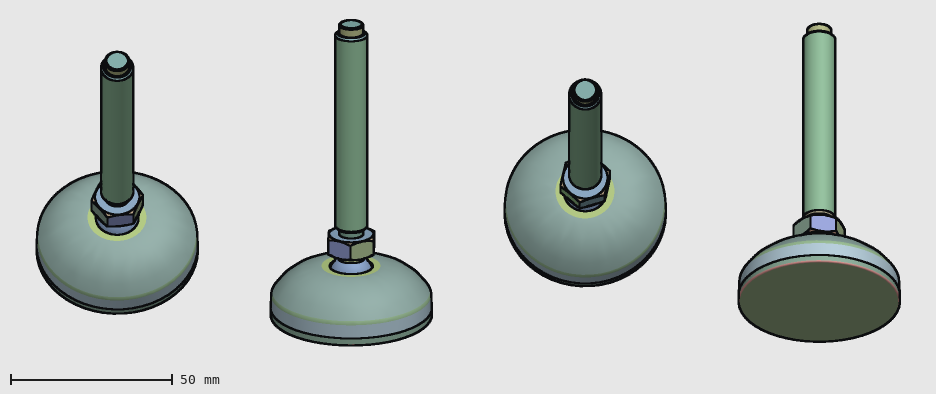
import cadquery as cq
import math

total_height = 97.2

pad_diameter = 50.0
pad_thickness = 2.5
pad_edge_fillet = 0.5

base_top_z = 16.5
base_top_diameter = 18.2
dome_radius = 18.0
wall_draft = 2.0
rim_fillet = 2.5
socket_diameter = 14.5
socket_mouth_diameter = 13.28

ball_diameter = 14.0
neck_diameter = 8.06
hex_across_flats = 14.0
hex_bottom_z = 21.2
hex_height = 6.0
hex_face_diameter = 13.7
hex_chamfer_angle = 30.0
relief_diameter = 7.5
thread_diameter = 10.0
thread_bottom_z = 29.2
thread_chamfer = 0.75
tip_length = 3.0
tip_chamfer = 0.4

pad_radius = pad_diameter / 2
wall_slope = math.tan(math.radians(wall_draft))

socket_radius = socket_diameter / 2
socket_center_z = base_top_z - math.sqrt(socket_radius**2 - (socket_mouth_diameter / 2) ** 2)

ball_radius = ball_diameter / 2
ball_bottom_z = socket_center_z - socket_radius
ball_center_z = ball_bottom_z + ball_radius


def wall_radius(z):
    """Radius of the drafted side wall shared by the pad and the base."""
    return pad_radius - wall_slope * (z - pad_edge_fillet)


def revolve(profile):
    """Close a half profile drawn in the XZ plane and spin it about Z."""
    return profile.close().revolve(360, (0, 0, 0), (0, 1, 0))


def make_pad():
    profile = (
        cq.Workplane("XZ")
        .lineTo(wall_radius(0), 0)
        .lineTo(wall_radius(pad_thickness), pad_thickness)
        .lineTo(0, pad_thickness)
    )
    return revolve(profile).faces("<Z").edges().fillet(pad_edge_fillet)


def make_base():
    dome_center_x = base_top_diameter / 2
    dome_center_z = base_top_z - dome_radius

    draft = math.radians(wall_draft)
    center_to_wall = (wall_radius(dome_center_z) - dome_center_x) * math.cos(draft)
    corner_angle = math.acos(center_to_wall / dome_radius) + draft

    def dome_point(angle):
        return (
            dome_center_x + dome_radius * math.cos(angle),
            dome_center_z + dome_radius * math.sin(angle),
        )

    profile = (
        cq.Workplane("XZ")
        .moveTo(0, pad_thickness)
        .lineTo(wall_radius(pad_thickness), pad_thickness)
        .lineTo(*dome_point(corner_angle))
        .threePointArc(dome_point((corner_angle + math.pi / 2) / 2), (dome_center_x, base_top_z))
        .lineTo(0, base_top_z)
    )
    _, rim_z = dome_point(corner_angle)
    rim_zone = cq.selectors.BoxSelector(
        (-pad_diameter, -pad_diameter, rim_z - rim_fillet),
        (pad_diameter, pad_diameter, rim_z + rim_fillet),
        boundingbox=True,
    )
    body = revolve(profile).edges("%CIRCLE").edges(rim_zone).fillet(rim_fillet)
    socket = cq.Workplane("XY").sphere(socket_radius).translate((0, 0, socket_center_z))
    return body.cut(socket)


def make_hex():
    """Hexagon with corners on the Y axis and conical chamfers on both faces."""
    hex_sides = 6
    half_side_angle = 180 / hex_sides
    across_corners = hex_across_flats / math.cos(math.radians(half_side_angle))
    prism = cq.Workplane("XY").polygon(hex_sides, across_corners).extrude(hex_height)
    prism = prism.rotate((0, 0, 0), (0, 0, 1), half_side_angle)
    corner_radius = across_corners / 2
    face_radius = hex_face_diameter / 2
    chamfer_height = (corner_radius - face_radius) * math.tan(math.radians(hex_chamfer_angle))
    envelope = revolve(
        cq.Workplane("XZ")
        .lineTo(face_radius, 0)
        .lineTo(corner_radius, chamfer_height)
        .lineTo(corner_radius, hex_height - chamfer_height)
        .lineTo(face_radius, hex_height)
        .lineTo(0, hex_height)
    )
    return prism.intersect(envelope).translate((0, 0, hex_bottom_z))


def rod(diameter, bottom_z, top_z):
    return cq.Workplane("XY", origin=(0, 0, bottom_z)).circle(diameter / 2).extrude(top_z - bottom_z)


def make_spindle():
    hex_top_z = hex_bottom_z + hex_height
    thread_top_z = total_height - tip_length
    ball = cq.Workplane("XY").sphere(ball_radius).translate((0, 0, ball_center_z))
    neck = rod(neck_diameter, ball_center_z, hex_bottom_z)
    relief = rod(relief_diameter, hex_top_z, thread_bottom_z)
    thread = rod(thread_diameter, thread_bottom_z, thread_top_z).edges().chamfer(thread_chamfer)
    tip = rod(relief_diameter, thread_top_z, total_height).faces(">Z").edges().chamfer(tip_chamfer)
    return ball.union(neck).union(make_hex()).union(relief).union(thread).union(tip)


pad = make_pad()
base = make_base()
spindle = make_spindle()

result = cq.Compound.makeCompound([pad.val(), base.val(), spindle.val()])